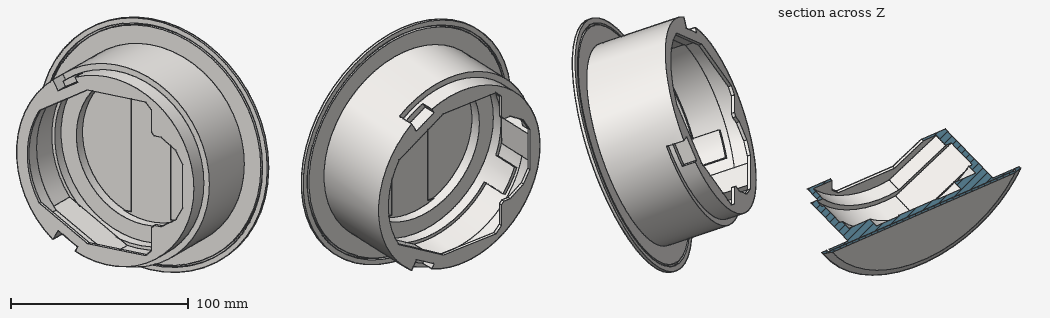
import cadquery as cq
import math


cap_radius = 75.0
cap_back_y = 52.6
cap_rim_y = 49.2
cap_chamfer_height = 1.6
cap_chamfer_width = 4.5
cap_recess_radius = 72.0
cap_recess_depth = 1.8
cap_recess_floor_y = cap_rim_y + cap_recess_depth

barrel_radius = 60.0
gap_to_cap = 1.2
flange_radius = cap_recess_radius - gap_to_cap

lip_thickness = 2.0
front_bore_radius = 54.0
front_bore_end_y = 12.0
wide_bore_radius = 57.0
wide_bore_end_y = 33.6
bore_radius = 55.0
bore_end_y = 40.5
hole_radius = 45.0
floor_y = 46.6

bar_width = 26.0
floor_recess_height = 83.1
floor_recess_depth = 0.6

relief_radius = 56.4
relief_depth = 11.0
notch_angle = 120.0
notch_width = 14.7
notch_floor_radius = 52.6
notch_depth = 8.1

cavity_flat_radius = 52.6
notch_wall = 1.8
front_flat_radius = notch_floor_radius - notch_wall
flat_block_width = barrel_radius

pad_angle = 30.0
pad_width = 16.6
pad_front_y = 16.8

stop_face_x = 50.0
stop_width = 17.1
stop_end_y = 26.7

key_half_height = 46.0
key_top_left_x = -13.4
key_arc_radius = 53.0
key_arc_end_z = 27.6
key_arc_end_x = -math.sqrt(key_arc_radius**2 - key_arc_end_z**2)
key_shoulder_x = 28.5
key_shoulder_chamfer = 3.9
key_neck_half_height = 26.8
key_neck_chamfer = 1.8
key_neck_end_x = 34.8
key_corner_x = 44.4
key_corner_z = 20.8
key_right_x = 49.0
key_right_half_height = 13.0


def plane_at(y):
    """Workplane across the axis, with local X along X and local Y along Z."""
    return cq.Workplane("XZ", origin=(0, y, 0))


def disc(radius, start_y, end_y):
    return plane_at(start_y).circle(radius).extrude(start_y - end_y)


def radial_block(inner, outer, width, start_y, end_y, angle=0.0):
    """Block from radius inner to radius outer, turned by angle from +X towards +Z."""
    outline = plane_at(start_y).center((inner + outer) / 2, 0).rect(outer - inner, width)
    block = outline.extrude(start_y - end_y)
    return block.rotate((0, 0, 0), (0, 1, 0), -angle)


def make_cap():
    body = disc(cap_radius, cap_rim_y, cap_back_y)
    body = body.faces(">Y").edges().chamfer(cap_chamfer_height, cap_chamfer_width)
    return body.cut(disc(cap_recess_radius, cap_rim_y, cap_recess_floor_y))


def key_opening():
    upper = [
        (key_top_left_x, key_half_height),
        (key_shoulder_x - key_shoulder_chamfer, key_half_height),
        (key_shoulder_x, key_half_height - key_shoulder_chamfer),
        (key_shoulder_x, key_neck_half_height + key_neck_chamfer),
        (key_shoulder_x + key_neck_chamfer, key_neck_half_height),
        (key_neck_end_x, key_neck_half_height),
        (key_corner_x, key_corner_z),
        (key_right_x, key_right_half_height),
    ]
    lower = [(x, -z) for x, z in reversed(upper)]
    outline = plane_at(0).moveTo(key_arc_end_x, key_arc_end_z)
    outline = outline.polyline(upper + lower, includeCurrent=True).lineTo(key_arc_end_x, -key_arc_end_z)
    outline = outline.threePointArc((-key_arc_radius, 0), (key_arc_end_x, key_arc_end_z)).close()
    return outline.extrude(-lip_thickness)


def cavity():
    """Space between the lip and the ledge, with the pads, flats and stop block left standing."""
    space = disc(wide_bore_radius, front_bore_end_y, wide_bore_end_y)
    for angle in (pad_angle, -pad_angle):
        space = space.cut(
            radial_block(hole_radius, barrel_radius, pad_width, pad_front_y, wide_bore_end_y, angle)
        )
    space = space.union(disc(bore_radius, front_bore_end_y, bore_end_y))
    space = space.union(disc(front_bore_radius, lip_thickness, front_bore_end_y))
    for angle in (notch_angle, -notch_angle):
        space = space.cut(
            radial_block(
                front_flat_radius, barrel_radius, flat_block_width, lip_thickness, front_bore_end_y, angle
            )
        )
        space = space.cut(
            radial_block(
                cavity_flat_radius, barrel_radius, flat_block_width, front_bore_end_y, wide_bore_end_y, angle
            )
        )
    return space.cut(radial_block(stop_face_x, barrel_radius, stop_width, lip_thickness, stop_end_y))


def floor_recesses():
    recess_end_y = floor_y + floor_recess_depth
    bar = plane_at(floor_y).rect(bar_width, floor_recess_height).extrude(-floor_recess_depth)
    area = plane_at(floor_y).rect(2 * hole_radius, floor_recess_height).extrude(-floor_recess_depth)
    return area.cut(bar).intersect(disc(hole_radius, floor_y, recess_end_y))


def relief():
    """Outer ring of the open end, without the full-radius part on the -X side."""
    reach = 2 * barrel_radius
    tilt = math.radians(notch_angle)
    apex_x = -notch_width / 2 / math.sin(tilt)
    end_x = apex_x + reach * math.cos(tilt)
    end_z = reach * math.sin(tilt)
    full_radius_part = plane_at(0).polyline([(apex_x, 0), (end_x, end_z), (end_x, -end_z)]).close()
    ring = plane_at(0).circle(barrel_radius).circle(relief_radius).extrude(-relief_depth)
    return ring.cut(full_radius_part.extrude(-relief_depth))


def make_housing():
    body = disc(barrel_radius, 0, cap_rim_y).union(disc(flange_radius, cap_rim_y, cap_recess_floor_y))
    body = body.cut(key_opening()).cut(cavity())
    body = body.cut(disc(hole_radius, bore_end_y, floor_y)).cut(floor_recesses())
    body = body.cut(relief())
    for angle in (notch_angle, -notch_angle):
        body = body.cut(radial_block(notch_floor_radius, barrel_radius, notch_width, 0, notch_depth, angle))
    return body


housing = make_housing()
cap = make_cap()
result = cq.Compound.makeCompound([housing.solids().val(), cap.solids().val()])